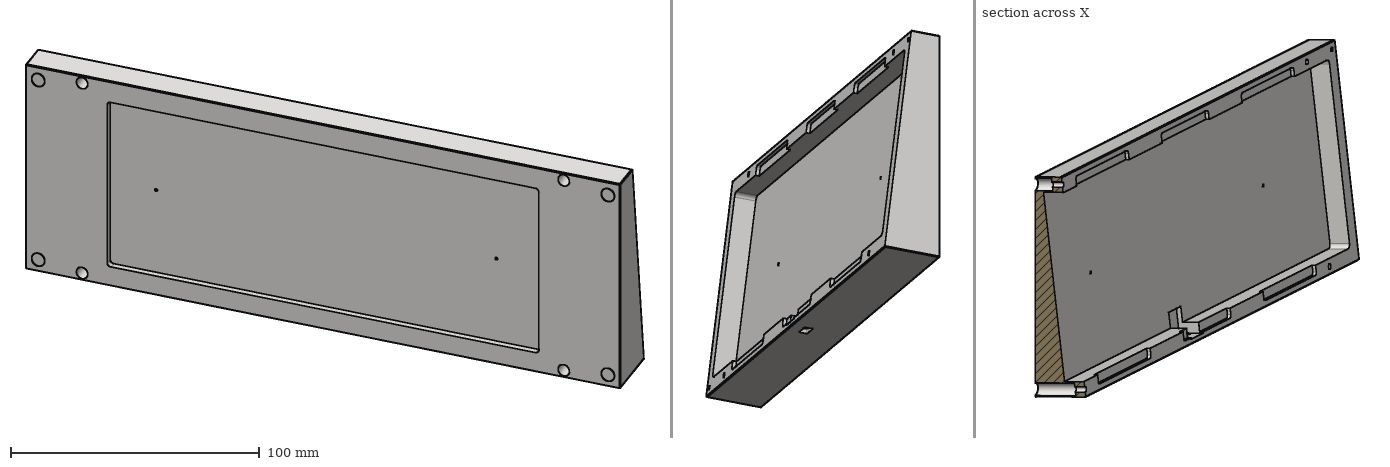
import cadquery as cq
import math

LENGTH = 262.6
DEEP_END = 23.0
HEIGHT = 93.2
TILT = 7.0
EDGE_CHAMFER = 0.4

WALL = 6.5
TRAY_DEPTH = 9.0
TRAY_CORNER = 1.8

NOTCHES = ((-72.0, 45.7), (0.0, 41.0), (72.0, 45.7))
NOTCH_REACH = 4.0
NOTCH_DEPTH = 1.5
NOTCH_CORNER = 1.3

PORT_X = 9.2
PORT_POCKET_WIDTH = 10.5
PORT_POCKET_DEPTH = 11.0
PORT_SKIN = 2.0
PORT_WIDTH = 8.7
PORT_HEIGHT = 3.5
PORT_DEPTH = 7.0
PORT_CORNER = 0.5

SCREW_X = 106.5
SCREW_HOLE = 2.0
SCREW_HEAD = 5.0
HEAD_SEAT_DEPTH = 4.7

PIN_HOLE = 1.5
PIN_HOLE_DEPTH = 4.0

PANEL_WIDTH = 190.7
PANEL_BOTTOM = 8.7
PANEL_TOP = 82.5
PANEL_DEPTH = 3.2
PANEL_CORNER = 1.5
VENT_X = 75.0
VENT_DIAMETER = 1.0
FOOT_X = 125.8
FOOT_Z = (5.3, 86.0)
FOOT_DIAMETER = 5.8
FOOT_DEPTH = 0.3

lean = math.radians(TILT)
corner_loss = EDGE_CHAMFER * math.sin(lean)
deep_end = DEEP_END + corner_loss
height = HEIGHT + 2 * corner_loss
deep_corner_z = deep_end * math.tan(lean)
face_length = (height - deep_corner_z) / math.cos(lean)
thin_end = deep_end - (height - deep_corner_z) * math.tan(lean)
thin_corner_z = height - thin_end * math.tan(lean)
tray_length = LENGTH - 2 * WALL
tray_height = face_length - 2 * WALL
panel_middle = (PANEL_BOTTOM + PANEL_TOP) / 2
screw_rows = (WALL / 2, face_length - WALL / 2)

key_face = cq.Plane(
    origin=(0, deep_end, deep_corner_z),
    xDir=(1, 0, 0),
    normal=(0, -math.cos(lean), -math.sin(lean)),
)


def face_block(x, y, width, span, depth):
    """Block sunk from the key face, centred at (x, y) on it."""
    return cq.Workplane(key_face).center(x, y).rect(width, span).extrude(depth)


def rounded_pocket(x, y, width, span, depth, corner):
    """Like face_block, with its corners rounded."""
    plan = cq.Sketch().rect(width, span).vertices().fillet(corner)
    return cq.Workplane(key_face).center(x, y).placeSketch(plan).extrude(depth)


def base_cylinders(points, diameter, depth):
    """Cylinders running from the base face in +Y, at (x, z) points."""
    base = cq.Workplane("XZ").pushPoints(points)
    return base.circle(diameter / 2).extrude(-depth)


def wedge():
    profile = [(0, 0), (deep_end, deep_corner_z), (thin_end, height), (0, thin_corner_z)]
    block = cq.Workplane("YZ").polyline(profile).close().extrude(LENGTH / 2, both=True)
    up_the_key_face = cq.selectors.ParallelDirSelector(key_face.yDir)
    return block.edges(cq.selectors.InverseSelector(up_the_key_face)).chamfer(EDGE_CHAMFER)


def tray():
    return rounded_pocket(0, face_length / 2, tray_length, tray_height, TRAY_DEPTH, TRAY_CORNER)


def notch(x, width):
    """One cut that notches the rims of both long walls."""
    span = tray_height + 2 * NOTCH_REACH
    return rounded_pocket(x, face_length / 2, width, span, NOTCH_DEPTH, NOTCH_CORNER)


def port():
    """Pocket behind a thin skin, with the port opening through the skin."""
    pocket_span = 2 * WALL - PORT_SKIN
    pocket_y = PORT_SKIN + pocket_span / 2
    pocket = face_block(PORT_X, pocket_y, PORT_POCKET_WIDTH, pocket_span, PORT_POCKET_DEPTH)
    deep_wall = cq.Plane(
        origin=key_face.toWorldCoords((PORT_X, 0, PORT_DEPTH)),
        xDir=(1, 0, 0),
        normal=key_face.yDir,
    )
    shape = cq.Sketch().rect(PORT_WIDTH, PORT_HEIGHT).vertices().fillet(PORT_CORNER)
    opening = cq.Workplane(deep_wall).placeSketch(shape).extrude(WALL)
    return pocket.union(opening)


def screw_hole(x, y):
    """Through hole whose wider head seat opens on the base face."""
    spot = cq.Workplane(key_face).center(x, y)
    hole = spot.circle(SCREW_HOLE / 2).extrude(DEEP_END)
    seat = spot.workplane(offset=HEAD_SEAT_DEPTH)
    return hole.union(seat.circle(SCREW_HEAD / 2).extrude(DEEP_END))


def panel():
    plan = cq.Sketch().rect(PANEL_WIDTH, PANEL_TOP - PANEL_BOTTOM).vertices().fillet(PANEL_CORNER)
    base = cq.Workplane("XZ").center(0, panel_middle)
    return base.placeSketch(plan).extrude(-PANEL_DEPTH)


case = wedge().cut(tray()).cut(port()).cut(panel())

for notch_x, notch_width in NOTCHES:
    case = case.cut(notch(notch_x, notch_width))

for side in (-1, 1):
    for row in screw_rows:
        case = case.cut(screw_hole(side * SCREW_X, row))

pin_inset = WALL / 2
pin_x = LENGTH / 2 - pin_inset
for x, y in ((-pin_x, face_length - pin_inset), (pin_x, pin_inset)):
    hole = cq.Workplane(key_face).center(x, y).circle(PIN_HOLE / 2).extrude(PIN_HOLE_DEPTH)
    case = case.cut(hole)

feet = [(side * FOOT_X, z) for side in (-1, 1) for z in FOOT_Z]
case = case.cut(base_cylinders(feet, FOOT_DIAMETER, FOOT_DEPTH))

vents = [(side * VENT_X, panel_middle) for side in (-1, 1)]
case = case.cut(base_cylinders(vents, VENT_DIAMETER, DEEP_END))

result = case.solids()